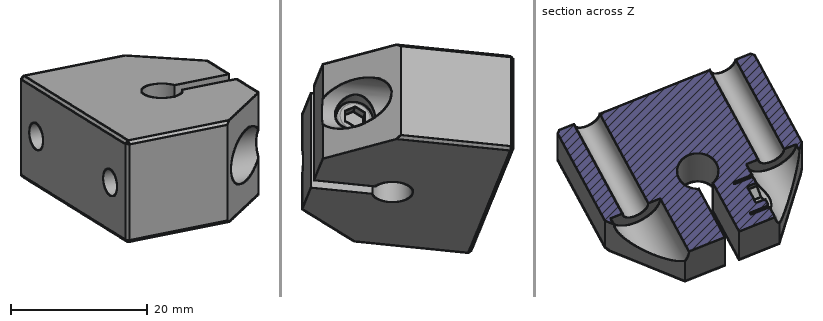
import cadquery as cq
import math

width = 32.0
depth = 27.0
height = 16.0
edge_chamfer = 0.48

rear_flat_width = 15.3
slope_length = 10.0

bore_diameter = 6.0
bore_from_rear = 12.0
slot_width = 2.25

mount_diameter = 4.13
mount_spacing = 22.0
counterbore_diameter = 8.0
counterbore_depth = slope_length

screw_from_rear = 5.0
pocket_diameter = 6.0
head_diameter = 5.5
head_face_diameter = 4.5
head_height = 3.0
hex_across_flats = 3.0
hex_depth = 1.5

front_y = -depth / 2
rear_y = depth / 2
half_width = width / 2
screw_y = rear_y - screw_from_rear
head_face_x = -(mount_spacing - counterbore_diameter) / 2


def make_block():
    """Box with its front corners and long edges chamfered and its rear corners sloped off."""
    block = cq.Workplane("XY").box(width, depth, height)
    block = block.faces("<X or >X or <Y").edges("not(>Y)").chamfer(edge_chamfer)
    outline = (
        cq.Workplane("XY", origin=(0, 0, -height / 2))
        .moveTo(-half_width, front_y)
        .lineTo(half_width, front_y)
        .lineTo(half_width, rear_y - slope_length)
        .lineTo(rear_flat_width / 2, rear_y)
        .lineTo(-rear_flat_width / 2, rear_y)
        .lineTo(-half_width, rear_y - slope_length)
        .close()
        .extrude(height)
    )
    return block.intersect(outline)


def make_clamp_opening():
    """Vertical through bore joined to the rear face by a slot."""
    bore_y = rear_y - bore_from_rear
    bore = cq.Workplane("XY").center(0, bore_y).circle(bore_diameter / 2).extrude(height, both=True)
    slot = cq.Workplane("XY").center(0, bore_y + bore_from_rear / 2).rect(slot_width, bore_from_rear)
    return bore.union(slot.extrude(height, both=True))


def make_mounting_hole(x):
    """Through hole along Y with a deep counterbore open to the rear face."""
    rear_plane = cq.Workplane("XZ", origin=(x, rear_y, 0))
    hole = rear_plane.circle(mount_diameter / 2).extrude(depth)
    counterbore = rear_plane.circle(counterbore_diameter / 2).extrude(counterbore_depth)
    return hole.union(counterbore)


def make_screw_pocket():
    """Round pocket along X from the counterbore axis to the seat of the screw head."""
    start_x = -mount_spacing / 2
    seat_x = head_face_x + head_height
    pocket = cq.Workplane("YZ", origin=(start_x, screw_y, 0)).circle(pocket_diameter / 2)
    return pocket.extrude(seat_x - start_x)


def make_screw_head():
    """Socket cap head with a rounded rim and a hexagonal recess."""
    rim_radius = (head_diameter - head_face_diameter) / 2
    hex_across_corners = hex_across_flats / math.cos(math.pi / 6)
    face_plane = cq.Workplane("YZ", origin=(head_face_x, screw_y, 0))
    head = face_plane.circle(head_diameter / 2).extrude(head_height)
    head = head.faces("<X").edges().fillet(rim_radius)
    socket = face_plane.transformed(rotate=(0, 0, 90)).polygon(6, hex_across_corners).extrude(hex_depth)
    return head.cut(socket)


result = make_block().cut(make_clamp_opening())
for side in (-1, 1):
    result = result.cut(make_mounting_hole(side * mount_spacing / 2))
result = result.cut(make_screw_pocket()).union(make_screw_head())